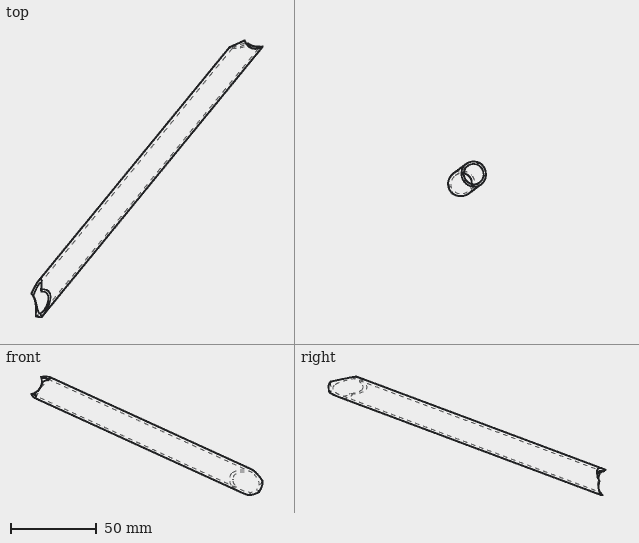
import cadquery as cq

tube_radius = 7.5
wall = 1.5
cutter_length = 129.5

start_node = cq.Vector(-68.6, -78.4, 31.4)
end_node = cq.Vector(64.1, 84.0, -29.3)

start_crossings = [(0, 1, 0), (1, 1, 1), (-0.36, 0.53, -0.77)]
end_crossings = [(0.04, -0.13, 1), (0.95, -0.01, -0.3), (1, 0.05, 0)]


def rod(start, direction, length, radius):
    """Solid round bar from a point along a direction."""
    return cq.Workplane(cq.Solid.makeCylinder(radius, length, start, direction))


def cope(body, node, crossings):
    """Remove the space taken by each tube crossing through the node."""
    for crossing in crossings:
        direction = cq.Vector(*crossing).normalized()
        cutter_start = node - direction * (cutter_length / 2)
        body = body.cut(rod(cutter_start, direction, cutter_length, tube_radius))
    return body


def largest_piece(body):
    """Keep the tube and drop the offcuts left beyond the copes."""
    return cq.Workplane(max(body.solids().vals(), key=lambda piece: piece.Volume()))


axis = end_node - start_node
outer = rod(start_node, axis, axis.Length, tube_radius)
bore = rod(start_node, axis, axis.Length, tube_radius - wall)
tube = outer.cut(bore)

tube = cope(tube, start_node, start_crossings)
tube = cope(tube, end_node, end_crossings)

result = largest_piece(tube)